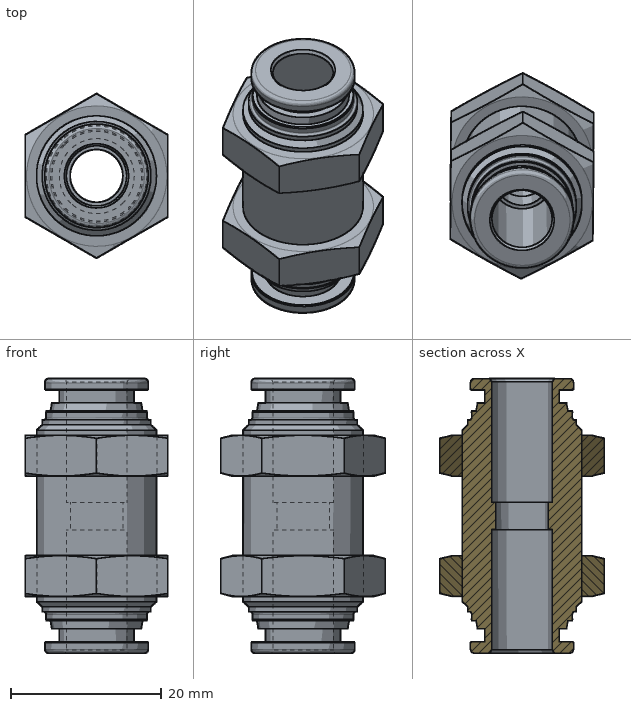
import cadquery as cq
import math

LENGTH = 36.6
HALF_LENGTH = LENGTH / 2

FLANGE_DIAMETER = 13.8
FLANGE_THICKNESS = 1.57
FLANGE_OUTER_FILLET = 0.55
FLANGE_INNER_CHAMFER = 0.15

NECK_DIAMETER = 10.0
NOSE_DEPTH = 3.25
NOSE_TIP_DIAMETER = 11.93
NOSE_BASE_DIAMETER = 12.3
COLLAR_DEPTH = 4.32
COLLAR_DIAMETER = 13.5
COLLAR_CHAMFER_RADIAL = 0.07
COLLAR_CHAMFER_AXIAL = 0.22
COLLAR_ROOT_FILLET = 0.3
SHOULDER_DEPTH = 5.53
SHOULDER_DIAMETER = 14.5
SHOULDER_LENGTH = 0.65
BARREL_DEPTH = 6.88
BARREL_DIAMETER = 16.0

TUBE_DIAMETER = 8.0
TUBE_DEPTH = 16.47
PASSAGE_DIAMETER = 7.0
MOUTH_DIAMETER = 8.55
MOUTH_DEPTH = 0.48

NUT_WIDTH = 19.0
NUT_THICKNESS = 5.5
NUT_DEPTH = 7.55
NUT_FACE_DIAMETER = 18.7
NUT_CHAMFER_ANGLE = 15.0
NUT_CENTER_Z = HALF_LENGTH - NUT_DEPTH - NUT_THICKNESS / 2


def z_at(depth):
    """Height of a point at the given depth below the upper end face."""
    return HALF_LENGTH - depth


def make_end():
    """Revolve the stepped upper end of the body, from the barrel edge to the end face."""
    flange_radius = FLANGE_DIAMETER / 2
    neck_radius = NECK_DIAMETER / 2
    collar_radius = COLLAR_DIAMETER / 2
    collar_tip_radius = collar_radius - COLLAR_CHAMFER_RADIAL
    shoulder_radius = SHOULDER_DIAMETER / 2
    arc_45 = math.sqrt(0.5)
    fillet_center_r = flange_radius - FLANGE_OUTER_FILLET
    fillet_mid = (
        fillet_center_r + FLANGE_OUTER_FILLET * arc_45,
        z_at(FLANGE_OUTER_FILLET * (1 - arc_45)),
    )
    root_mid = (
        collar_radius + COLLAR_ROOT_FILLET * (1 - arc_45),
        z_at(SHOULDER_DEPTH - COLLAR_ROOT_FILLET * (1 - arc_45)),
    )
    profile = (
        cq.Workplane("XZ")
        .moveTo(0, z_at(BARREL_DEPTH))
        .lineTo(0, HALF_LENGTH)
        .lineTo(fillet_center_r, HALF_LENGTH)
        .threePointArc(fillet_mid, (flange_radius, z_at(FLANGE_OUTER_FILLET)))
        .lineTo(flange_radius, z_at(FLANGE_THICKNESS - FLANGE_INNER_CHAMFER))
        .lineTo(flange_radius - FLANGE_INNER_CHAMFER, z_at(FLANGE_THICKNESS))
        .lineTo(neck_radius, z_at(FLANGE_THICKNESS))
        .lineTo(neck_radius, z_at(NOSE_DEPTH))
        .lineTo(NOSE_TIP_DIAMETER / 2, z_at(NOSE_DEPTH))
        .lineTo(NOSE_BASE_DIAMETER / 2, z_at(COLLAR_DEPTH))
        .lineTo(collar_tip_radius, z_at(COLLAR_DEPTH))
        .lineTo(collar_radius, z_at(COLLAR_DEPTH + COLLAR_CHAMFER_AXIAL))
        .lineTo(collar_radius, z_at(SHOULDER_DEPTH - COLLAR_ROOT_FILLET))
        .threePointArc(root_mid, (collar_radius + COLLAR_ROOT_FILLET, z_at(SHOULDER_DEPTH)))
        .lineTo(shoulder_radius, z_at(SHOULDER_DEPTH))
        .lineTo(shoulder_radius, z_at(SHOULDER_DEPTH + SHOULDER_LENGTH))
        .lineTo(BARREL_DIAMETER / 2, z_at(BARREL_DEPTH))
        .close()
    )
    return profile.revolve(360, (0, 0), (0, 1))


def make_tube_socket():
    """Revolve the wider bore of the upper end, with its tapered mouth."""
    profile = (
        cq.Workplane("XZ")
        .moveTo(0, z_at(TUBE_DEPTH))
        .lineTo(TUBE_DIAMETER / 2, z_at(TUBE_DEPTH))
        .lineTo(TUBE_DIAMETER / 2, z_at(MOUTH_DEPTH))
        .lineTo(MOUTH_DIAMETER / 2, HALF_LENGTH)
        .lineTo(0, HALF_LENGTH)
        .close()
    )
    return profile.revolve(360, (0, 0), (0, 1))


def make_body():
    """Bulkhead body: a barrel with mirrored ends, sockets and a passage through it."""
    barrel = cq.Workplane("XY").cylinder(2 * z_at(BARREL_DEPTH), BARREL_DIAMETER / 2)
    passage = cq.Workplane("XY").cylinder(LENGTH, PASSAGE_DIAMETER / 2)
    end = make_end()
    socket = make_tube_socket()
    outside = barrel.union(end).union(end.mirror("XY"))
    return outside.cut(passage).cut(socket).cut(socket.mirror("XY"))


def make_nut(center_z):
    """Hex nut with corners along Y, both faces chamfered, fitted on the barrel."""
    corner_diameter = NUT_WIDTH / math.cos(math.radians(30))
    corner_radius = corner_diameter / 2
    face_radius = NUT_FACE_DIAMETER / 2
    half_thickness = NUT_THICKNESS / 2
    corner_drop = (corner_radius - face_radius) * math.tan(math.radians(NUT_CHAMFER_ANGLE))
    hexagon = (
        cq.Workplane("XY")
        .polygon(6, corner_diameter)
        .extrude(half_thickness, both=True)
        .rotate((0, 0, 0), (0, 0, 1), 90)
    )
    chamfer_envelope = (
        cq.Workplane("XZ")
        .moveTo(0, -half_thickness)
        .lineTo(face_radius, -half_thickness)
        .lineTo(corner_radius, corner_drop - half_thickness)
        .lineTo(corner_radius, half_thickness - corner_drop)
        .lineTo(face_radius, half_thickness)
        .lineTo(0, half_thickness)
        .close()
        .revolve(360, (0, 0), (0, 1))
    )
    barrel_hole = cq.Workplane("XY").cylinder(NUT_THICKNESS, BARREL_DIAMETER / 2)
    return hexagon.intersect(chamfer_envelope).cut(barrel_hole).translate((0, 0, center_z))


body = make_body()
nuts = [make_nut(center_z) for center_z in (-NUT_CENTER_Z, NUT_CENTER_Z)]

result = cq.Compound.makeCompound([body.solids().val(), *[nut.solids().val() for nut in nuts]])